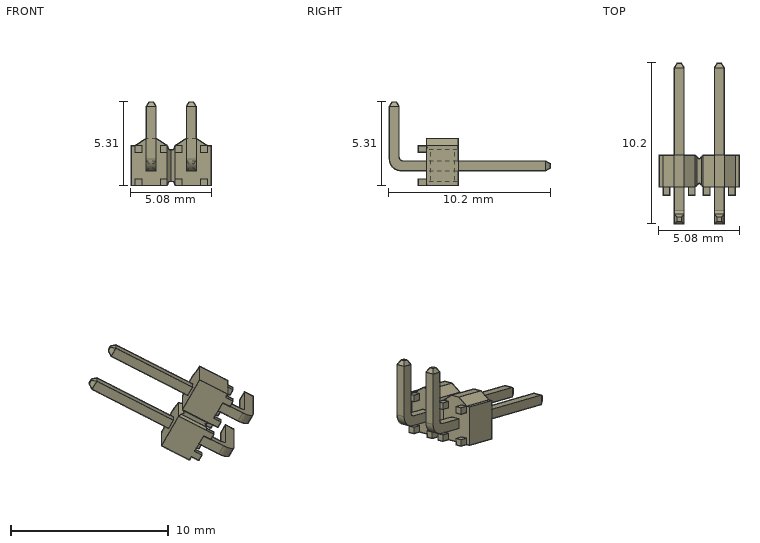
import cadquery as cq

pin_count = 2
pitch = 2.54
pin_width = 0.635
pin_bottom = 0.93
pin_top_end = 5.31
pin_back_length = 5.83
pin_front_reach = 2.36
bend_outer_radius = 0.762
bend_inner_radius = 0.25
tip_length = 0.3
tip_flat = 0.28

housing_length = pin_count * pitch
housing_depth = 2.03
shoulder_height = 2.54
crown_height = 3.0
shoulder_width = 0.254
notch_depth = 0.254
notch_floor_width = 0.28
groove_depth = 0.254

foot_size = 0.43
foot_length = 0.53

pin_positions = [(i - (pin_count - 1) / 2) * pitch for i in range(pin_count)]
joint_positions = [(i - pin_count / 2) * pitch for i in range(1, pin_count)]


def extrude_along_y(points, y_front, y_back):
    """Extrude an outline of (x, z) points between two Y positions."""
    return cq.Workplane("XZ", origin=(0, y_back, 0)).polyline(points).close().extrude(y_back - y_front)


def crown(x):
    """Roof-shaped ridge above one pin."""
    half_base = pitch / 2 - shoulder_width
    outline = [
        (x - half_base, shoulder_height),
        (x - pin_width / 2, crown_height),
        (x + pin_width / 2, crown_height),
        (x + half_base, shoulder_height),
    ]
    return extrude_along_y(outline, 0, housing_depth)


def foot(x_center, z_bottom):
    """Square standoff foot on the front face."""
    size = (foot_size, foot_length, foot_size)
    return (
        cq.Workplane("XY")
        .box(*size, centered=(True, False, False))
        .translate((x_center, -foot_length, z_bottom))
    )


def joint_notch(x, z_edge, inward):
    """Tapered notch across the top or bottom edge between neighbouring pins."""
    outline = [
        (x - shoulder_width, z_edge),
        (x - notch_floor_width / 2, z_edge + inward * notch_depth),
        (x + notch_floor_width / 2, z_edge + inward * notch_depth),
        (x + shoulder_width, z_edge),
    ]
    return extrude_along_y(outline, 0, housing_depth)


def joint_groove(x, y_face, inward):
    """Upright V-groove in the front or back face between neighbouring pins."""
    outline = [
        (x - shoulder_width, y_face),
        (x, y_face + inward * groove_depth),
        (x + shoulder_width, y_face),
    ]
    return cq.Workplane("XY").polyline(outline).close().extrude(shoulder_height)


def make_housing():
    housing = cq.Workplane("XY").box(
        housing_length, housing_depth, shoulder_height, centered=(True, False, False)
    )
    foot_offset = pitch / 2 - shoulder_width - foot_size / 2
    for x in pin_positions:
        housing = housing.union(crown(x))
        for side in (-1, 1):
            for z_bottom in (0, shoulder_height - foot_size):
                housing = housing.union(foot(x + side * foot_offset, z_bottom))
    for x in joint_positions:
        housing = housing.cut(joint_notch(x, 0, 1))
        housing = housing.cut(joint_notch(x, shoulder_height, -1))
        housing = housing.cut(joint_groove(x, 0, 1))
        housing = housing.cut(joint_groove(x, housing_depth, -1))
    return housing


def pin_tip(plane):
    """Square pyramid frustum standing on the given plane."""
    return (
        cq.Workplane(plane)
        .rect(pin_width, pin_width)
        .workplane(offset=tip_length)
        .rect(tip_flat, tip_flat)
        .loft(ruled=True)
    )


def make_pin(x):
    """Square right-angle pin: runs back along Y and turns up in front."""
    y_front = -pin_front_reach
    y_inner = y_front + pin_width
    y_back = housing_depth + pin_back_length - tip_length
    pin_top = pin_bottom + pin_width
    z_end = pin_top_end - tip_length
    bent_bar = (
        cq.Workplane("YZ", origin=(x - pin_width / 2, 0, 0))
        .moveTo(y_back, pin_bottom)
        .lineTo(y_front + bend_outer_radius, pin_bottom)
        .radiusArc((y_front, pin_bottom + bend_outer_radius), bend_outer_radius)
        .lineTo(y_front, z_end)
        .lineTo(y_inner, z_end)
        .lineTo(y_inner, pin_top + bend_inner_radius)
        .radiusArc((y_inner + bend_inner_radius, pin_top), -bend_inner_radius)
        .lineTo(y_back, pin_top)
        .close()
        .extrude(pin_width)
    )
    upper_base = cq.Plane((x, y_front + pin_width / 2, z_end), (1, 0, 0), (0, 0, 1))
    back_base = cq.Plane((x, y_back, pin_bottom + pin_width / 2), (1, 0, 0), (0, 1, 0))
    return bent_bar.union(pin_tip(upper_base)).union(pin_tip(back_base))


loose_pin_x, integral_pin_x = pin_positions
loose_pin = make_pin(loose_pin_x)
housing = make_housing().union(make_pin(integral_pin_x)).cut(loose_pin)

result = cq.Compound.makeCompound([housing.val(), loose_pin.val()])